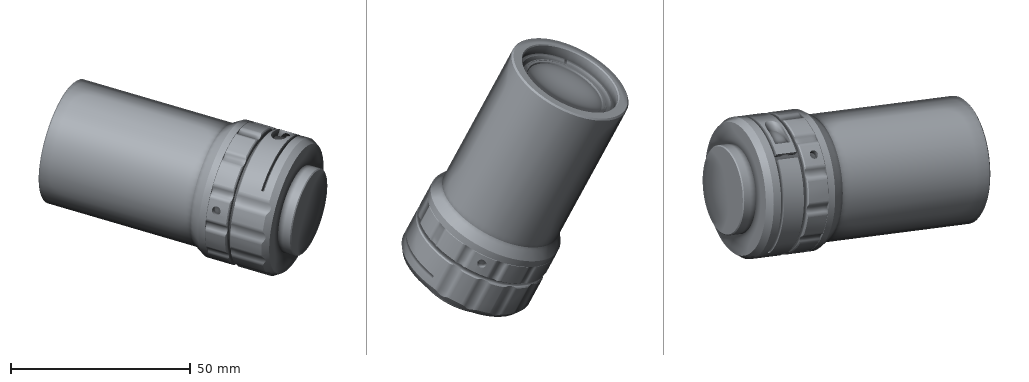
import cadquery as cq
import math

total_length = 74.7
grip_diameter = 40.0
grip_radius = grip_diameter / 2
tube_radius = 18.0
core_radius = 18.15
mount_radius = 12.7

tube_end = 46.3
shoulder_start = 49.7
focus_ring_start = 51.7
focus_ring_end = 58.1
clamp_ring_start = 59.15
rear_taper_start = 68.9
mount_start = 70.75

tube_chamfer = 0.45
mount_chamfer = 0.3
grip_chamfer = 0.3
focus_front_chamfer = 0.15
rear_taper_radius = 18.8

bore_radius = 14.7
bore_chamfer = 0.3
retainer_depth = 3.2
retainer_cone_radius = 13.8
groove_depth = 4.1
groove_outer_radius = 13.0
groove_inner_radius = 12.7
cell_depth = 3.6
cell_step_radius = 12.3
cell_step_depth = 3.65
lens_depth = 4.1
lens_chamfer_radius = 11.65
lens_radius = 11.4
spanner_slot_width = 0.75
spanner_slot_depth = 0.6

focus_flute_count = 12
focus_flute_angle = 20.9
focus_flute_depth = 0.75
focus_valley_radius = 1.9
focus_edge_radius = 1.65
set_screw_radius = 1.3
set_screw_x = 54.4
set_screw_count = 3
set_screw_angle = focus_flute_angle + 180 / focus_flute_count

clamp_angle = 37.7
clamp_flute_count = 7
clamp_flute_pitch = 25.0
clamp_flute_middle = 217.4
clamp_flute_depth = 0.5
clamp_valley_radius = 3.65
clamp_edge_radius = 2.5
slit_width = 1.65
band_slot_start = 65.65
band_slot_end = 66.55

screw_x = 62.45
screw_offset = 17.6
screw_head_radius = 2.4
screw_hole_radius = 1.4
screw_head_seat = 4.1


def polar(radius, angle):
    return radius * math.cos(math.radians(angle)), radius * math.sin(math.radians(angle))


def midpoint(a, b):
    return tuple((p + q) / 2 for p, q in zip(a, b))


def point_towards(centre, target, distance):
    """Point at a distance from the centre, on the line to the target."""
    reach = math.dist(centre, target)
    return tuple(p + (q - p) * distance / reach for p, q in zip(centre, target))


def revolve_profile(points):
    """Turn a closed (x, radius) outline about the X axis."""
    return cq.Workplane("XY").polyline(points).close().revolve(360, (0, 0, 0), (1, 0, 0))


def fluted_bar(start, end, centres, depth, valley_radius, edge_radius):
    """Bar with shallow flutes: a hollow valley arc blended into the lands by edge arcs."""
    valley_reach = grip_radius - depth + valley_radius
    edge_reach = grip_radius - edge_radius
    centre_gap = valley_radius + edge_radius
    half_angle = math.degrees(math.acos(
        (valley_reach**2 + edge_reach**2 - centre_gap**2) / (2 * valley_reach * edge_reach)))

    outline = cq.Workplane("YZ", origin=(start, 0, 0)).moveTo(*polar(grip_radius, centres[0] - half_angle))
    for centre, next_centre in zip(centres, centres[1:] + [centres[0] + 360]):
        flute_start = polar(grip_radius, centre - half_angle)
        flute_end = polar(grip_radius, centre + half_angle)
        valley_centre = polar(valley_reach, centre)
        start_edge_centre = polar(edge_reach, centre - half_angle)
        end_edge_centre = polar(edge_reach, centre + half_angle)

        valley_start = point_towards(start_edge_centre, valley_centre, edge_radius)
        valley_end = point_towards(end_edge_centre, valley_centre, edge_radius)
        start_edge_middle = point_towards(start_edge_centre, midpoint(flute_start, valley_start), edge_radius)
        end_edge_middle = point_towards(end_edge_centre, midpoint(valley_end, flute_end), edge_radius)
        land_middle = polar(grip_radius, (centre + next_centre) / 2)
        land_end = polar(grip_radius, next_centre - half_angle)

        outline = outline.threePointArc(start_edge_middle, valley_start)
        outline = outline.threePointArc(polar(grip_radius - depth, centre), valley_end)
        outline = outline.threePointArc(end_edge_middle, flute_end)
        outline = outline.threePointArc(land_middle, land_end)
    return outline.close().extrude(end - start)


def turned_to(shape, angle):
    """Turn a shape built along +Y so that it points at the given angle about X."""
    return shape.rotate((0, 0, 0), (1, 0, 0), angle)


def make_core():
    """Tube, shoulder, sleeve and rear mount."""
    return revolve_profile([
        (0, 0),
        (0, tube_radius - tube_chamfer),
        (tube_chamfer, tube_radius),
        (tube_end, tube_radius),
        (shoulder_start, grip_radius),
        (focus_ring_start, grip_radius),
        (focus_ring_start, core_radius),
        (rear_taper_start, core_radius),
        (rear_taper_start, mount_radius),
        (total_length - mount_chamfer, mount_radius),
        (total_length, mount_radius - mount_chamfer),
        (total_length, 0),
    ])


def make_front_opening():
    opening = revolve_profile([
        (0, 0),
        (0, bore_radius + bore_chamfer),
        (bore_chamfer, bore_radius),
        (retainer_depth, bore_radius),
        (retainer_depth, retainer_cone_radius),
        (groove_depth, groove_outer_radius),
        (groove_depth, groove_inner_radius),
        (cell_depth, groove_inner_radius),
        (cell_depth, cell_step_radius),
        (cell_step_depth, cell_step_radius),
        (cell_step_depth, lens_chamfer_radius),
        (lens_depth, lens_radius),
        (lens_depth, 0),
    ])
    slot_length = 2 * bore_radius
    slots = cq.Workplane("XY").box(
        spanner_slot_depth, spanner_slot_width, slot_length, centered=(False, True, True)
    ).translate((retainer_depth, 0, 0))
    hub = cq.Workplane("YZ").circle(groove_outer_radius).extrude(total_length)
    return opening.union(slots.cut(hub))


def make_focus_ring():
    pitch = 360 / focus_flute_count
    centres = [focus_flute_angle + index * pitch for index in range(focus_flute_count)]
    ring = fluted_bar(focus_ring_start, focus_ring_end, centres, focus_flute_depth,
                      focus_valley_radius, focus_edge_radius)
    ring = ring.intersect(revolve_profile([
        (focus_ring_start, 0),
        (focus_ring_start, grip_radius - focus_front_chamfer),
        (focus_ring_start + focus_front_chamfer, grip_radius),
        (focus_ring_end - grip_chamfer, grip_radius),
        (focus_ring_end, grip_radius - grip_chamfer),
        (focus_ring_end, 0),
    ]))
    hole = cq.Workplane("XZ", origin=(set_screw_x, 0, 0)).circle(set_screw_radius).extrude(-total_length)
    for index in range(set_screw_count):
        ring = ring.cut(turned_to(hole, set_screw_angle + index * 360 / set_screw_count))
    return ring


def make_clamp_cuts():
    """Slit, band slot, screw hole and head recess, with the slit pointing along +Y."""
    slit = cq.Workplane("XY").box(
        band_slot_start - clamp_ring_start, total_length, slit_width, centered=(False, False, True)
    ).translate((clamp_ring_start, 0, 0))
    band_slot = cq.Workplane("XY").box(
        band_slot_end - band_slot_start, total_length, total_length, centered=(False, False, True)
    ).translate((band_slot_start, -slit_width / 2, 0))
    screw_line = cq.Workplane("XY", origin=(screw_x, screw_offset, 0))
    screw_hole = screw_line.circle(screw_hole_radius).extrude(screw_head_seat)
    head_seat = screw_line.workplane(offset=screw_head_seat)
    head_recess = head_seat.circle(screw_head_radius).extrude(total_length)
    head_opening = head_seat.center(0, grip_radius / 2).rect(
        2 * screw_head_radius, grip_radius).extrude(total_length)
    return slit.union(band_slot).union(screw_hole).union(head_recess).union(head_opening)


def make_clamp_ring():
    first = clamp_flute_middle - clamp_flute_pitch * (clamp_flute_count - 1) / 2
    centres = [first + index * clamp_flute_pitch for index in range(clamp_flute_count)]
    ring = fluted_bar(clamp_ring_start, mount_start, centres, clamp_flute_depth,
                      clamp_valley_radius, clamp_edge_radius)
    ring = ring.intersect(revolve_profile([
        (clamp_ring_start, 0),
        (clamp_ring_start, grip_radius - grip_chamfer),
        (clamp_ring_start + grip_chamfer, grip_radius),
        (rear_taper_start, grip_radius),
        (mount_start, rear_taper_radius),
        (mount_start, 0),
    ]))
    return ring.cut(turned_to(make_clamp_cuts(), clamp_angle))


result = make_focus_ring().union(make_clamp_ring()).union(make_core())
result = result.cut(make_front_opening())